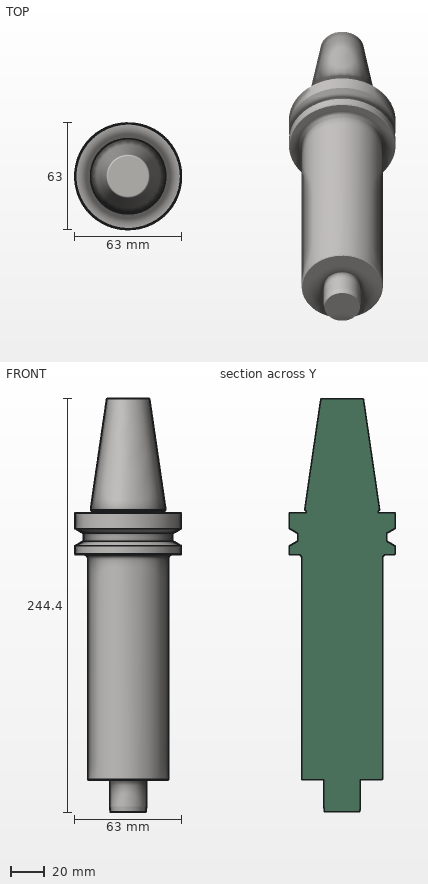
import cadquery as cq
import math


gauge_diameter = 44.45
taper_length = 65.4
taper_ratio = 7 / 24
taper_end_fillet = 1.0

neck_diameter = 43.0
gauge_land = 0.5
neck_chamfer = (gauge_diameter - neck_diameter) / 2

flange_diameter = 63.0
flange_top = -2.0
flange_bottom = -27.0
flange_chamfer = 0.5
groove_diameter = 53.0
groove_center = -16.6
groove_mouth = 10.3
groove_flank_angle = 30.0

body_diameter = 48.0
body_bottom = -160.0
body_chamfer = 0.5
body_fillet = 2.0

nose_diameter = 22.0
nose_length = 19.0
nose_chamfer_width = 0.5
nose_chamfer_length = 3.5

gauge_radius = gauge_diameter / 2
neck_radius = neck_diameter / 2
flange_radius = flange_diameter / 2
groove_radius = groove_diameter / 2
body_radius = body_diameter / 2
nose_radius = nose_diameter / 2
taper_end_radius = gauge_radius - taper_length * taper_ratio / 2
nose_bottom = body_bottom - nose_length


def turned(points):
    """Solid of revolution about Z from (radius, height) points, closed along the axis."""
    axis_top = (0, points[0][1])
    axis_bottom = (0, points[-1][1])
    outline = cq.Workplane("XZ").polyline([axis_top, *points, axis_bottom]).close()
    return outline.revolve(360, (0, 0, 0), (0, 1, 0))


def taper_shank():
    """Taper with a rounded small end, a short land and the relief neck."""
    shank = turned([
        (taper_end_radius, taper_length),
        (gauge_radius, 0),
        (gauge_radius, -gauge_land),
        (neck_radius, -gauge_land - neck_chamfer),
        (neck_radius, flange_top),
    ])
    return shank.faces(">Z").edges().fillet(taper_end_fillet)


def flange():
    """Chamfered disc with a flat-bottomed V groove round its rim."""
    groove_depth = flange_radius - groove_radius
    flank_height = groove_depth * math.tan(math.radians(groove_flank_angle))
    mouth_top = groove_center + groove_mouth / 2
    mouth_bottom = groove_center - groove_mouth / 2
    return turned([
        (flange_radius - flange_chamfer, flange_top),
        (flange_radius, flange_top - flange_chamfer),
        (flange_radius, mouth_top),
        (groove_radius, mouth_top - flank_height),
        (groove_radius, mouth_bottom + flank_height),
        (flange_radius, mouth_bottom),
        (flange_radius, flange_bottom + flange_chamfer),
        (flange_radius - flange_chamfer, flange_bottom),
    ])


def body():
    """Cylinder with a chamfered lower edge and a concave fillet up to the flange."""
    arc_offset = body_fillet * (1 - math.sqrt(0.5))
    profile = (
        cq.Workplane("XZ")
        .moveTo(0, flange_bottom)
        .lineTo(body_radius + body_fillet, flange_bottom)
        .threePointArc(
            (body_radius + arc_offset, flange_bottom - arc_offset),
            (body_radius, flange_bottom - body_fillet),
        )
        .lineTo(body_radius, body_bottom + body_chamfer)
        .lineTo(body_radius - body_chamfer, body_bottom)
        .lineTo(0, body_bottom)
        .close()
    )
    return profile.revolve(360, (0, 0, 0), (0, 1, 0))


def nose():
    """Pilot at the lower end with a long, shallow lead-in chamfer."""
    return turned([
        (nose_radius, body_bottom),
        (nose_radius, nose_bottom + nose_chamfer_length),
        (nose_radius - nose_chamfer_width, nose_bottom),
    ])


result = taper_shank().union(flange()).union(body()).union(nose())